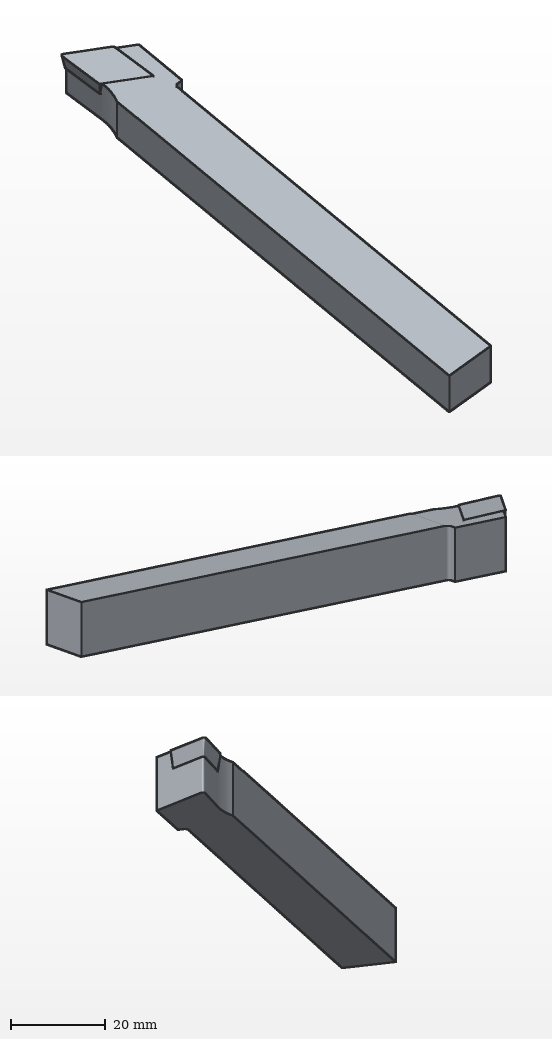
import cadquery as cq
import math

LENGTH = 120
SHANK_SIZE = 12
HEAD_WIDTH = 14.0

HEAD_DROP = 0.1
RAMP_START_X = 23.2
RAMP_END_X = 23.6
SHOULDER_X = 22.5
SHOULDER_FILLET = 0.7
RELIEF_START_X = 11.6
RELIEF_END_X = 17.4
HEAD_NOSE_RADIUS = 0.4

EDGE_LENGTH = 11.6
EDGE_ANGLE = 3
POINT_ANGLE = 55
CLEARANCE_ANGLE = 7
THICKNESS = 4.0
TOP_NOSE_RADIUS = 0.4
SEAT_NOSE_RADIUS = 0.1

HEAD_TOP_Z = SHANK_SIZE - HEAD_DROP
SEAT_Z = HEAD_TOP_Z - THICKNESS
FRONT_ANGLE = math.radians(EDGE_ANGLE)
SIDE_ANGLE = math.radians(EDGE_ANGLE + POINT_ANGLE)
BISECTOR = (FRONT_ANGLE + SIDE_ANGLE) / 2
HALF_POINT = math.radians(POINT_ANGLE / 2)
SEAT_INSET = THICKNESS * math.tan(math.radians(CLEARANCE_ANGLE))


def step(point, angle, distance):
    """Point reached by moving a distance in the given direction in the XY plane."""
    return (point[0] + distance * math.cos(angle), point[1] + distance * math.sin(angle))


NOSE_CENTRE = (TOP_NOSE_RADIUS, TOP_NOSE_RADIUS)
TOP_TIP = step(NOSE_CENTRE, BISECTOR, -TOP_NOSE_RADIUS / math.sin(HALF_POINT))
SEAT_TIP = step(TOP_TIP, BISECTOR, SEAT_INSET / math.sin(HALF_POINT))
SEAT_EDGE = EDGE_LENGTH - 2 * SEAT_INSET / math.sin(2 * HALF_POINT)


def nose_points(tip, radius):
    """Start, middle and end of a nose arc, from the side edge to the front edge."""
    tangent = radius / math.tan(HALF_POINT)
    crown = radius / math.sin(HALF_POINT) - radius
    return step(tip, SIDE_ANGLE, tangent), step(tip, BISECTOR, crown), step(tip, FRONT_ANGLE, tangent)


def insert_outline(sketch, tip, edge, radius):
    """Rhombus with its cutting corner rounded."""
    start, middle, end = nose_points(tip, radius)
    front_corner = step(tip, FRONT_ANGLE, edge)
    return (
        sketch.moveTo(*start)
        .threePointArc(middle, end)
        .lineTo(*front_corner)
        .lineTo(*step(front_corner, SIDE_ANGLE, edge))
        .lineTo(*step(tip, SIDE_ANGLE, edge))
        .close()
    )


def make_insert():
    """Tapered insert lofted from its seat up to its cutting face."""
    seat = insert_outline(cq.Workplane("XY", origin=(0, 0, SEAT_Z)), SEAT_TIP, SEAT_EDGE, SEAT_NOSE_RADIUS)
    top = seat.workplane(offset=THICKNESS)
    return insert_outline(top, TOP_TIP, EDGE_LENGTH, TOP_NOSE_RADIUS).loft(ruled=True)


def holder_blank():
    """Shank and head; the head's flanks continue the insert's seat edges downward."""
    start, middle, end = nose_points(SEAT_TIP, HEAD_NOSE_RADIUS)
    flank_end = (RELIEF_START_X, SEAT_TIP[1] + (RELIEF_START_X - SEAT_TIP[0]) * math.tan(FRONT_ANGLE))
    side_top_x = SEAT_TIP[0] + (HEAD_WIDTH - SEAT_TIP[1]) / math.tan(SIDE_ANGLE)
    fillet_end_x = SHOULDER_X + SHOULDER_FILLET
    return (
        cq.Workplane("XY")
        .moveTo(*start)
        .threePointArc(middle, end)
        .lineTo(*flank_end)
        .tangentArcPoint((RELIEF_END_X, 0), relative=False)
        .lineTo(LENGTH, 0)
        .lineTo(LENGTH, SHANK_SIZE)
        .lineTo(fillet_end_x, SHANK_SIZE)
        .radiusArc((SHOULDER_X, SHANK_SIZE + SHOULDER_FILLET), SHOULDER_FILLET)
        .lineTo(SHOULDER_X, HEAD_WIDTH)
        .lineTo(side_top_x, HEAD_WIDTH)
        .close()
        .extrude(SHANK_SIZE)
    )


def head_top_cut():
    """Thin layer above the head, ending at the ramp."""
    return (
        cq.Workplane("XZ")
        .moveTo(0, HEAD_TOP_Z)
        .lineTo(RAMP_START_X, HEAD_TOP_Z)
        .lineTo(RAMP_END_X, SHANK_SIZE)
        .lineTo(0, SHANK_SIZE)
        .close()
        .extrude(-HEAD_WIDTH)
    )


insert = make_insert()
holder = holder_blank().cut(head_top_cut()).cut(insert)

result = cq.Compound.makeCompound([holder.val(), insert.val()])